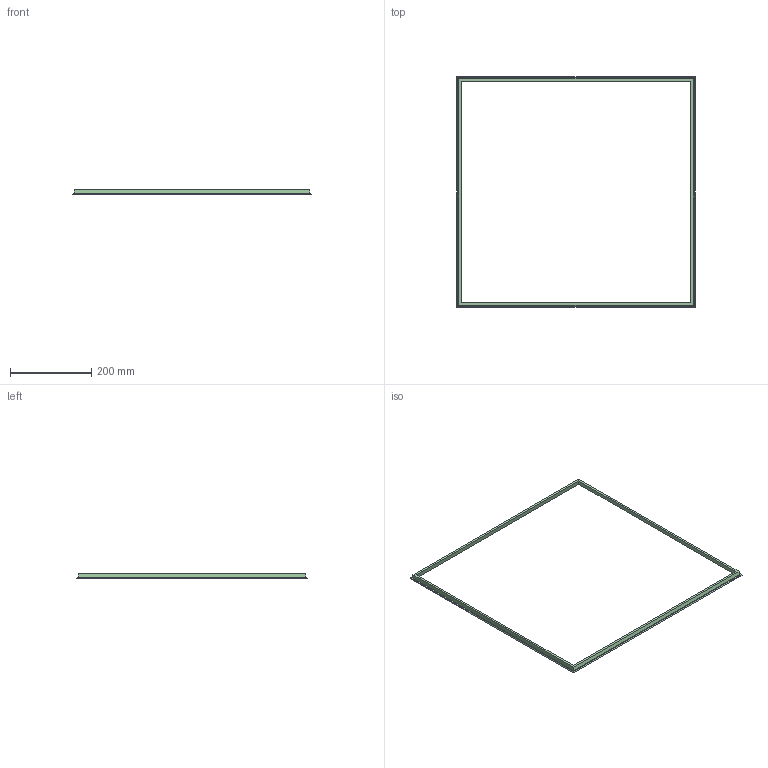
import cadquery as cq
import math

frame_length = 587.85
frame_width = 567.85
frame_height = 12.0

rail_lean = 10.0
rail_thickness = 5.9
rail_foot_inset = 3.1

flange_height = 2.8
flange_bevel = 30.0


def inward_run(height, angle):
    """Horizontal shift of a wall that leans inward over the given height."""
    return height * math.tan(math.radians(angle))


def leaning_block(bottom_inset, height, lean):
    """Solid block standing on the bottom plane, with all four sides leaning inward."""
    top_inset = bottom_inset + inward_run(height, lean)
    return (
        cq.Workplane("XY")
        .rect(frame_length - 2 * bottom_inset, frame_width - 2 * bottom_inset)
        .workplane(offset=height)
        .rect(frame_length - 2 * top_inset, frame_width - 2 * top_inset)
        .loft(ruled=True)
    )


flange = leaning_block(0, flange_height, flange_bevel)
rail = leaning_block(rail_foot_inset, frame_height, rail_lean)
opening = leaning_block(rail_foot_inset + rail_thickness, frame_height, rail_lean)

result = flange.union(rail).cut(opening)